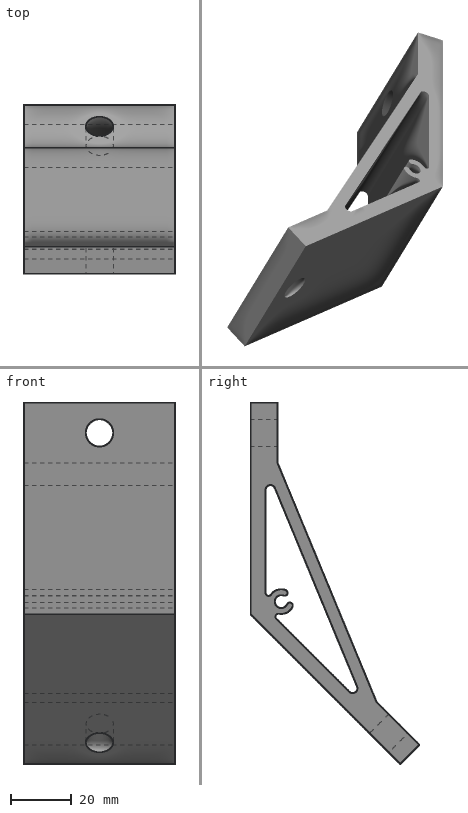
import cadquery as cq
import math

total_height = 119.5
width = 50.0
bend = math.radians(45)
leg_length = total_height / (1 + math.cos(bend))
pad_thickness = 9.0
pad_length = 20.0
wall = 5.0
strut_thickness = 4.1
pocket_corner_radius = 1.5

hole_diameter = 9.0
hole_from_end = 10.0

clip_distance = 11.0
clip_inner_radius = 2.09
clip_outer_radius = 4.12
clip_opening_half_angle = 47.0
clip_root_radius = 1.0

upper_angle = math.pi / 2
lower_angle = -bend
middle_angle = (upper_angle + lower_angle) / 2
half_angle = (upper_angle - lower_angle) / 2


def polar(radius, angle):
    return (radius * math.cos(angle), radius * math.sin(angle))


def leg_point(side, along, depth):
    """Point along the upper (+1) or lower (-1) leg, at a depth behind its outer face."""
    return polar(math.hypot(along, depth), middle_angle + side * (half_angle - math.atan2(depth, along)))


def prism(points):
    return cq.Workplane("YZ").polyline(points).close().extrude(width / 2, both=True)


def cylinder(center, radius):
    return cq.Workplane("YZ").center(*center).circle(radius).extrude(width / 2, both=True)


def make_body():
    return prism([
        (0, 0),
        leg_point(1, leg_length, 0),
        leg_point(1, leg_length, pad_thickness),
        leg_point(1, leg_length - pad_length, pad_thickness),
        leg_point(-1, leg_length - pad_length, pad_thickness),
        leg_point(-1, leg_length, pad_thickness),
        leg_point(-1, leg_length, 0),
    ])


inner_corner = polar(wall / math.sin(half_angle), middle_angle)
strut_outer_distance = ((leg_length - pad_length) * math.cos(half_angle)
                        + pad_thickness * math.sin(half_angle))
strut_inner_distance = strut_outer_distance - strut_thickness
pocket_reach = (strut_inner_distance - wall * math.sin(half_angle)) / math.cos(half_angle)


def make_pocket():
    triangle = prism([
        inner_corner,
        leg_point(1, pocket_reach, wall),
        leg_point(-1, pocket_reach, wall),
    ])
    return triangle.edges("|X").edges("<Z or >Z").fillet(pocket_corner_radius)


def make_clip():
    center = polar(clip_distance, middle_angle)

    root_depth = wall + clip_root_radius
    center_along = clip_distance * math.cos(half_angle)
    center_depth = clip_distance * math.sin(half_angle)
    root_along = center_along + math.sqrt(
        (clip_outer_radius + clip_root_radius) ** 2 - (center_depth - root_depth) ** 2)
    web = prism([
        (0, 0),
        leg_point(1, root_along, 0),
        leg_point(1, root_along, root_depth),
        center,
        leg_point(-1, root_along, root_depth),
        leg_point(-1, root_along, 0),
    ])
    clip = cylinder(center, clip_outer_radius).union(web)
    for side in (1, -1):
        clip = clip.cut(cylinder(leg_point(side, root_along, root_depth), clip_root_radius))
    clip = clip.cut(cylinder(center, clip_inner_radius))

    tip_angle = math.radians(clip_opening_half_angle)
    mouth_reach = 2 * clip_outer_radius

    def around_clip(radius, angle):
        offset = polar(radius, middle_angle + angle)
        return (center[0] + offset[0], center[1] + offset[1])

    clip = clip.cut(prism([
        center,
        around_clip(mouth_reach, tip_angle),
        around_clip(mouth_reach, -tip_angle),
    ]))
    tip_orbit = (clip_inner_radius + clip_outer_radius) / 2
    tip_radius = (clip_outer_radius - clip_inner_radius) / 2
    for side in (1, -1):
        clip = clip.union(cylinder(around_clip(tip_orbit, side * tip_angle), tip_radius))
    return clip


def make_hole(side):
    start = leg_point(side, leg_length - hole_from_end, 0)
    end = leg_point(side, leg_length - hole_from_end, pad_thickness)
    axis = cq.Vector(0, end[0] - start[0], end[1] - start[1])
    return cq.Workplane(cq.Solid.makeCylinder(
        hole_diameter / 2, pad_thickness, cq.Vector(0, *start), axis))


result = make_body().cut(make_pocket().cut(make_clip()))
for leg_side in (1, -1):
    result = result.cut(make_hole(leg_side))